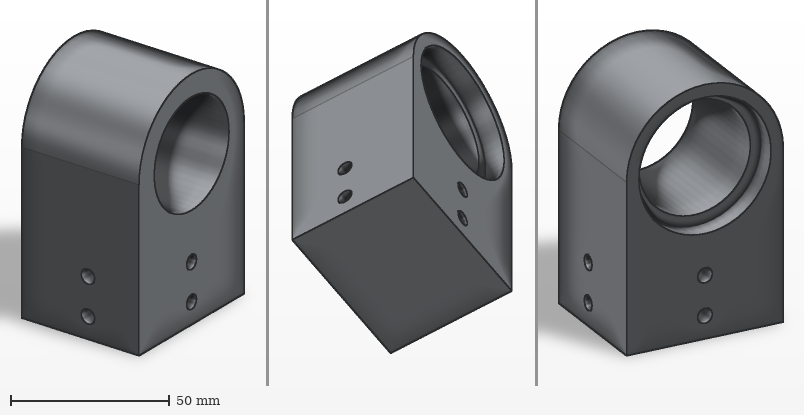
import cadquery as cq

length = 46.0
width = 56.0
height = 88.0
top_radius = width / 2
bore_height = height - top_radius

bore_diameter = 39.8
counterbore_diameter = 47.2
counterbore_depth = 7.0

hole_diameter = 5.2
hole_heights = (8.0, 22.0)
cross_hole_offset = 3.0


def cylinder_along_x(diameter, depth, z):
    """Cylinder starting at the -X face, centred on Y = 0 at height z."""
    return cq.Workplane("YZ", origin=(-length / 2, 0, z)).circle(diameter / 2).extrude(depth)


def cylinder_along_y(diameter, x, z):
    """Cylinder spanning the full width at the given X and height."""
    return cq.Workplane("XZ", origin=(x, width / 2, z)).circle(diameter / 2).extrude(width)


result = (
    cq.Workplane("YZ", origin=(-length / 2, 0, 0))
    .moveTo(-width / 2, 0)
    .lineTo(width / 2, 0)
    .lineTo(width / 2, bore_height)
    .threePointArc((0, height), (-width / 2, bore_height))
    .close()
    .extrude(length)
)

result = result.cut(cylinder_along_x(bore_diameter, length, bore_height))
result = result.cut(cylinder_along_x(counterbore_diameter, counterbore_depth, bore_height))

for hole_height in hole_heights:
    result = result.cut(cylinder_along_x(hole_diameter, length, hole_height))
    result = result.cut(cylinder_along_y(hole_diameter, cross_hole_offset, hole_height))